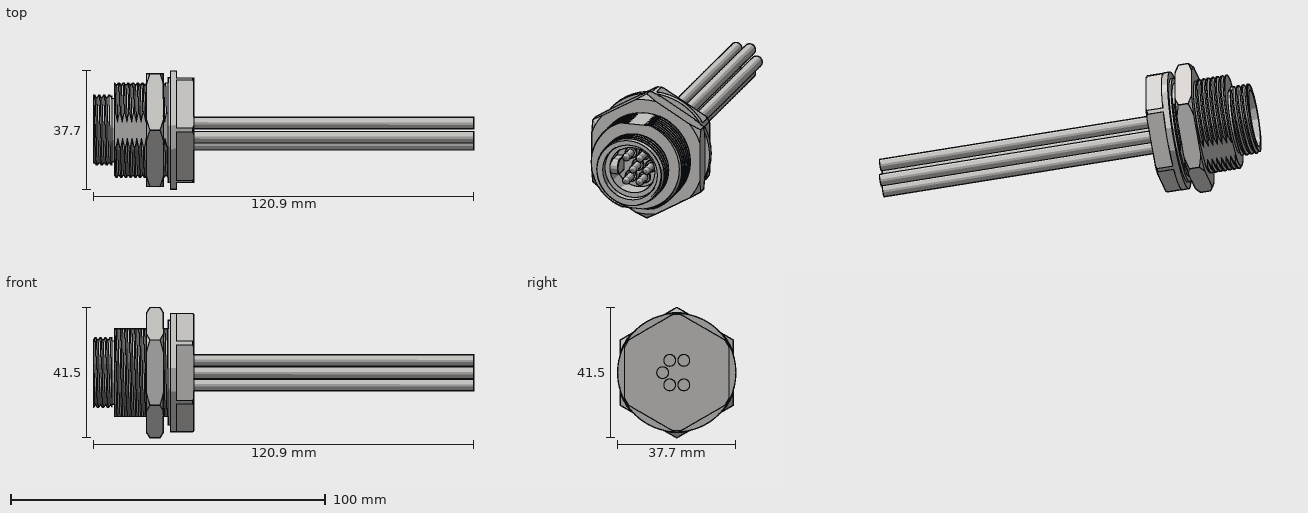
import cadquery as cq
import math


coupling_radius = 11.1
coupling_pitch = 1.5875
coupling_thread_depth = 0.85
coupling_thread_end = 5.8
relief_radius = 10.1

panel_start = 6.6
panel_radius = 15.0
panel_pitch = 1.5
panel_thread_depth = 0.75
panel_flat_height = 14.0

nut_start = 16.8
nut_width = 5.4
nut_across_flats = 36.0
nut_corner_radius = 20.75
nut_face_radius = 19.1
nut_chamfer_length = 1.1
nut_bore_radius = 14.7

seal_start = 23.7
seal_radius = 16.7
flange_start = 24.4
flange_radius = 18.85
head_start = 26.4
head_end = 31.9
head_across_flats = 33.3
head_chamfer = 0.4

bore_radius = 18.2 / 2
bore_depth = 2.5
insert_radius = 7.5
insert_depth = 9.0

contact_circle_radius = 4.5
contact_pitch_angle = 60
contact_angles = range(contact_pitch_angle, 360, contact_pitch_angle)
pin_radius = 1.2
pin_tip_x = 2.3
pin_tip_fillet = 0.9
collar_radius = 1.85
collar_height = 1.0
key_width = 4.9
key_inner_y = 4.8
key_tip_x = 2.5
key_chamfer = 0.2
wire_radius = 1.87
wire_end = 120.9

opening_width_ratio = 0.85
crest_clearance = 0.1
coupling_thread_overrun = 1.0
panel_thread_overrun = 1.2

overlap = 0.5


def cylinder(start, end, radius, y=0.0, z=0.0):
    """Round bar along X."""
    return cq.Workplane("YZ", origin=(start, y, z)).circle(radius).extrude(end - start)


def hexagon(start, end, across_flats):
    """Hexagonal bar along X with two corners on the Z axis."""
    corner_diameter = across_flats / math.cos(math.radians(30))
    bar = cq.Workplane("YZ", origin=(start, 0, 0)).polygon(6, corner_diameter).extrude(end - start)
    return bar.rotate((0, 0, 0), (1, 0, 0), 90)


def thread_groove(start, end, radius, pitch, depth):
    """Helical V groove along X that opens slightly beyond the thread crest."""
    opening_half_width = opening_width_ratio * pitch / 2
    root = radius - depth
    opening = radius + crest_clearance
    helix = cq.Wire.makeHelix(pitch, end - start, root)
    profile = (
        cq.Workplane("XZ")
        .moveTo(root, 0)
        .lineTo(opening, opening_half_width)
        .lineTo(opening, -opening_half_width)
        .close()
    )
    groove = profile.sweep(cq.Workplane(obj=helix), isFrenet=True)
    return groove.rotate((0, 0, 0), (0, 1, 0), 90).translate((start, 0, 0))


def contact_position(angle):
    """Y and Z of a contact; angle 0 points at the key on the +Y side."""
    radians = math.radians(angle)
    return contact_circle_radius * math.cos(radians), contact_circle_radius * math.sin(radians)


def make_coupling():
    crest = cylinder(0, coupling_thread_end, coupling_radius)
    groove = thread_groove(
        -coupling_thread_overrun, coupling_thread_end, coupling_radius, coupling_pitch, coupling_thread_depth
    )
    relief = cylinder(coupling_thread_end - overlap, panel_start + overlap, relief_radius)
    return crest.cut(groove).union(relief)


def make_panel_thread():
    crest = cylinder(panel_start, seal_start, panel_radius)
    groove = thread_groove(
        panel_start - panel_thread_overrun, seal_start, panel_radius, panel_pitch, panel_thread_depth
    )
    flats = cq.Workplane("XY").box(2 * wire_end, 4 * panel_radius, 2 * panel_flat_height)
    return crest.cut(groove).intersect(flats)


def make_nut():
    nut_end = nut_start + nut_width
    envelope = (
        cq.Workplane("XY")
        .moveTo(nut_start, 0)
        .lineTo(nut_start, nut_face_radius)
        .lineTo(nut_start + nut_chamfer_length, nut_corner_radius)
        .lineTo(nut_end - nut_chamfer_length, nut_corner_radius)
        .lineTo(nut_end, nut_face_radius)
        .lineTo(nut_end, 0)
        .close()
        .revolve(360, (0, 0, 0), (1, 0, 0))
    )
    bore = cylinder(nut_start, nut_end, nut_bore_radius)
    return hexagon(nut_start, nut_end, nut_across_flats).intersect(envelope).cut(bore)


def make_head():
    seal = cylinder(seal_start, head_start, seal_radius)
    flange = cylinder(flange_start, head_start, flange_radius)
    envelope = cylinder(head_start, head_end, flange_radius).faces(">X").chamfer(head_chamfer)
    head = hexagon(head_start, head_end, head_across_flats).intersect(envelope)
    return seal.union(flange).union(head)


def make_socket_cut():
    return cylinder(0, bore_depth, bore_radius).union(cylinder(0, insert_depth, insert_radius))


def make_pin(y, z):
    pin = cylinder(pin_tip_x, insert_depth + overlap, pin_radius, y, z)
    pin = pin.faces("<X").fillet(pin_tip_fillet)
    collar = cylinder(insert_depth - collar_height, insert_depth + overlap, collar_radius, y, z)
    return pin.union(collar)


def make_key():
    """Key on the +Y side of the socket with a half-round nose toward the mating face."""
    key_end = insert_depth + key_width
    outer_y = insert_radius + overlap
    key = (
        cq.Workplane("XZ", origin=((key_tip_x + key_end) / 2, outer_y, 0))
        .slot2D(key_end - key_tip_x, key_width)
        .extrude(outer_y - key_inner_y)
    )
    return key.faces("<Y").chamfer(key_chamfer)


result = make_coupling().union(make_panel_thread()).union(make_head())
result = result.cut(make_socket_cut()).union(make_key()).union(make_pin(0, 0))
for angle in contact_angles:
    contact_y, contact_z = contact_position(angle)
    result = result.union(make_pin(contact_y, contact_z))
    result = result.union(cylinder(head_end - overlap, wire_end, wire_radius, contact_y, contact_z))
result = result.union(make_nut())